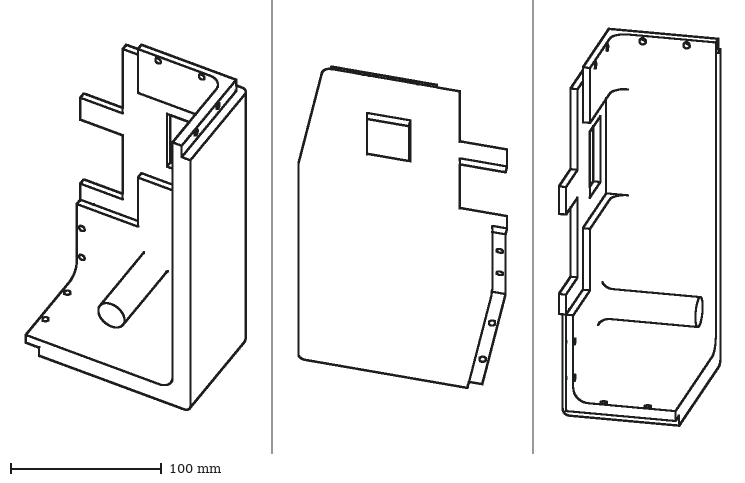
import cadquery as cq
import math

width, depth, height = 125.0, 80.0, 235.0

shell_back = 5.0
shell_side = 6.5
shell_bottom = 7.3
shell_radius = 5.0
rebate = 10.0
shell_top = height - rebate
panel_left = 32.2
tab_bottom, tab_top = 147.5, 167.3
ledge_top = 90.5

liner_back = 5.0
liner_wall = 7.0
liner_radius = 10.0
liner_left = 46.5
liner_step = 76.1
gap_bottom, gap_top = 120.0, 195.8
liner_right = width - shell_side
liner_rear = depth - shell_back
inner_right = liner_right - liner_wall
inner_bottom = shell_bottom + liner_wall
inner_rear = liner_rear - liner_back

window_left, window_right = 65.8, 95.2
window_bottom, window_top = 134.5, 181.5

pin_x, pin_z = 65.0, 60.2
pin_diameter = 20.0
pin_flare_radius = 10.0

hole_diameter = 4.2
hole_inset = 4.0
hole_depth_positions = (20.0, 50.0)
top_hole_xs = (61.8, 95.0)
left_hole_zs = (30.0, 56.0)


def block(x_range, y_range, z_range):
    """Axis-aligned box between the given limits."""
    size = [high - low for low, high in (x_range, y_range, z_range)]
    corner = (x_range[0], y_range[0], z_range[0])
    return cq.Workplane("XY").box(*size, centered=False).translate(corner)


def make_shell():
    """Back panel, right wall and floor, with the panel's left side cut to shape."""
    shell = block((0, width), (0, depth), (0, shell_top))
    shell = shell.edges("(>X and >Y) or (>X and <Z) or (>Y and <Z)").fillet(shell_radius)
    shell = shell.cut(block((0, liner_right), (0, liner_rear), (shell_bottom, height)))
    shell = shell.cut(block((0, rebate), (0, depth), (0, liner_step)))
    for bottom, top in ((ledge_top, tab_bottom), (tab_top, height)):
        shell = shell.cut(block((0, panel_left), (0, depth), (bottom, top)))
    window = block((window_left, window_right), (0, depth), (window_bottom, window_top))
    return shell.cut(window)


def make_liner():
    """Liner with rounded inside corners and an open band across its back."""
    liner = block((0, liner_right), (0, liner_rear), (shell_bottom, height))
    cavity = block((-width, inner_right), (-depth, inner_rear), (inner_bottom, 2 * height))
    cavity = cavity.edges("(>X and >Y) or (>X and <Z) or (>Y and <Z)").fillet(liner_radius)
    liner = liner.cut(cavity)
    liner = liner.cut(block((0, liner_left), (0, depth), (liner_step, height)))
    return liner.cut(block((0, inner_right), (0, depth), (gap_bottom, gap_top)))


def make_pin():
    """Round pin standing on the liner back, flared at its root."""
    radius = pin_diameter / 2
    flare_start = inner_rear - pin_flare_radius
    flare_outer = radius + pin_flare_radius
    diagonal = pin_flare_radius * math.sqrt(0.5)
    flare_middle = (flare_outer - diagonal, flare_start + diagonal)
    profile = (
        cq.Workplane("XY")
        .lineTo(radius, 0)
        .lineTo(radius, flare_start)
        .threePointArc(flare_middle, (flare_outer, inner_rear))
        .lineTo(flare_outer, liner_rear)
        .lineTo(0, liner_rear)
        .close()
    )
    pin = profile.revolve(360, (0, 0, 0), (0, 1, 0))
    return pin.translate((pin_x, 0, pin_z))


def drill(start, direction, length):
    """Cylinder for one mounting hole."""
    cylinder = cq.Solid.makeCylinder(hole_diameter / 2, length, cq.Vector(*start), cq.Vector(*direction))
    return cq.Workplane(cylinder)


result = make_shell().union(make_liner()).union(make_pin())

top_hole_z = height - hole_inset
back_holes = [(x, top_hole_z) for x in top_hole_xs] + [(hole_inset, z) for z in left_hole_zs]
for x, z in back_holes:
    result = result.cut(drill((x, 0, z), (0, 1, 0), depth))

for y in hole_depth_positions:
    result = result.cut(drill((inner_right, y, top_hole_z), (1, 0, 0), width))
    result = result.cut(drill((hole_inset, y, 0), (0, 0, 1), inner_bottom))